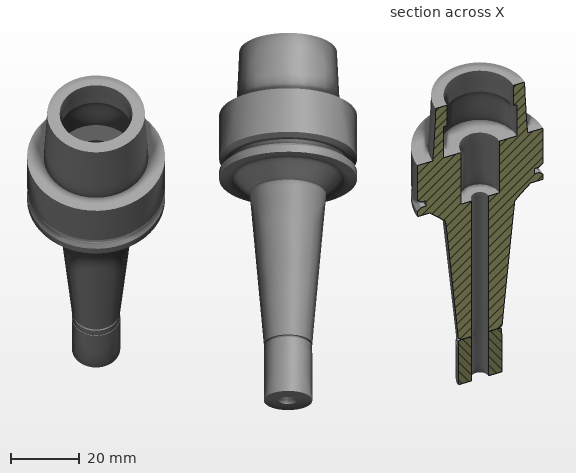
import cadquery as cq

total_height = 110.0
flange_top = 90.0
upper_rim_bottom = 76.2
groove_top = 75.1
groove_bottom = 73.3
lower_rim_top = 72.2
flange_bottom = 70.0
shank_top = 65.0
shank_bottom = 17.8
nut_height = 17.2
nut_band_bottom = 14.8

flange_radius = 40.0 / 2
rim_chamfer = 1.3
groove_radius = 17.4
cone_top_radius = 14.2
cone_base_radius = 15.2
shank_top_radius = 11.1
transition_radius = shank_top_radius + flange_bottom - shank_top
shank_bottom_radius = 7.0
neck_radius = 6.4
nut_radius = 7.0
nut_band_radius = 6.9

mouth_radius = 10.6
mouth_depth = 8.1
undercut_radius = 11.7
cavity_depth = total_height - flange_top
middle_bore_radius = 6.0
middle_bore_bottom = flange_bottom
through_radius = 2.6


def revolve_profile(points):
    """Turn a closed (radius, height) outline about the Z axis."""
    return cq.Workplane("XZ").polyline(points).close().revolve(360, (0, 0), (0, 1))


def make_holder():
    """Tapered holder with a grooved flange, a long shank and a stepped bore."""
    chamfered_radius = flange_radius - rim_chamfer
    cavity_floor = total_height - cavity_depth
    mouth_bottom = total_height - mouth_depth
    outside = [
        (neck_radius, nut_height),
        (neck_radius, shank_bottom),
        (shank_bottom_radius, shank_bottom),
        (shank_top_radius, shank_top),
        (transition_radius, flange_bottom),
        (flange_radius, flange_bottom),
        (flange_radius, lower_rim_top),
        (chamfered_radius, groove_bottom),
        (groove_radius, groove_bottom),
        (groove_radius, groove_top),
        (chamfered_radius, groove_top),
        (flange_radius, upper_rim_bottom),
        (flange_radius, flange_top),
        (cone_base_radius, flange_top),
        (cone_top_radius, total_height),
    ]
    bore = [
        (mouth_radius, total_height),
        (mouth_radius, mouth_bottom),
        (undercut_radius, mouth_bottom),
        (undercut_radius, cavity_floor),
        (middle_bore_radius, cavity_floor),
        (middle_bore_radius, middle_bore_bottom),
        (through_radius, middle_bore_bottom),
        (through_radius, nut_height),
    ]
    return revolve_profile(outside + bore)


def make_nut():
    """Round nut with a slightly smaller band at its top, seated on the holder neck."""
    return revolve_profile([
        (through_radius, 0),
        (nut_radius, 0),
        (nut_radius, nut_band_bottom),
        (nut_band_radius, nut_band_bottom),
        (nut_band_radius, nut_height),
        (through_radius, nut_height),
    ])


holder = make_holder()
nut = make_nut()

result = cq.Compound.makeCompound([holder.val(), nut.val()])